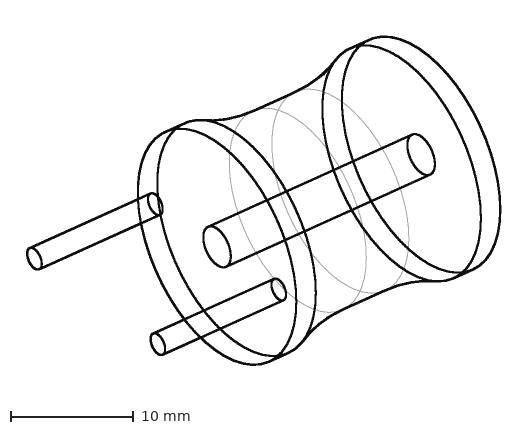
import cadquery as cq
import math

total_length = 34.05
core_length = 21.38
flange_diameter = 20.55
flange_thickness = 2.05
waist_diameter = 17.77
waist_length = 4.45
bore_diameter = 3.57
pin_diameter = 1.9
pin_spacing = 16.0

pin_length = total_length - core_length
flange_radius = flange_diameter / 2
waist_radius = waist_diameter / 2

half_core = core_length / 2
flange_inner = half_core - flange_thickness
half_waist = waist_length / 2

flare_length = flange_inner - half_waist
flare_rise = flange_radius - waist_radius
flare_radius = (flare_length**2 + flare_rise**2) / (2 * flare_rise)
flare_half_angle = math.asin(flare_length / flare_radius) / 2
flare_mid_radius = waist_radius + flare_radius * (1 - math.cos(flare_half_angle))
flare_mid_offset = half_waist + flare_radius * math.sin(flare_half_angle)


def make_core():
    """Revolve the spool profile about the Y axis."""
    return (
        cq.Workplane("XY")
        .moveTo(0, -half_core)
        .lineTo(flange_radius, -half_core)
        .lineTo(flange_radius, -flange_inner)
        .threePointArc((flare_mid_radius, -flare_mid_offset), (waist_radius, -half_waist))
        .lineTo(waist_radius, half_waist)
        .threePointArc((flare_mid_radius, flare_mid_offset), (flange_radius, flange_inner))
        .lineTo(flange_radius, half_core)
        .lineTo(0, half_core)
        .close()
        .revolve(360, (0, 0, 0), (0, 1, 0))
    )


def make_bore():
    """Cylinder that passes through the whole core."""
    return cq.Workplane("XZ").circle(bore_diameter / 2).extrude(half_core, both=True)


def make_pins():
    """Two round pins standing on the -Y face of the core."""
    return (
        cq.Workplane("XZ", origin=(0, -half_core, 0))
        .pushPoints([(side * pin_spacing / 2, 0) for side in (-1, 1)])
        .circle(pin_diameter / 2)
        .extrude(pin_length)
    )


result = make_core().cut(make_bore()).union(make_pins())